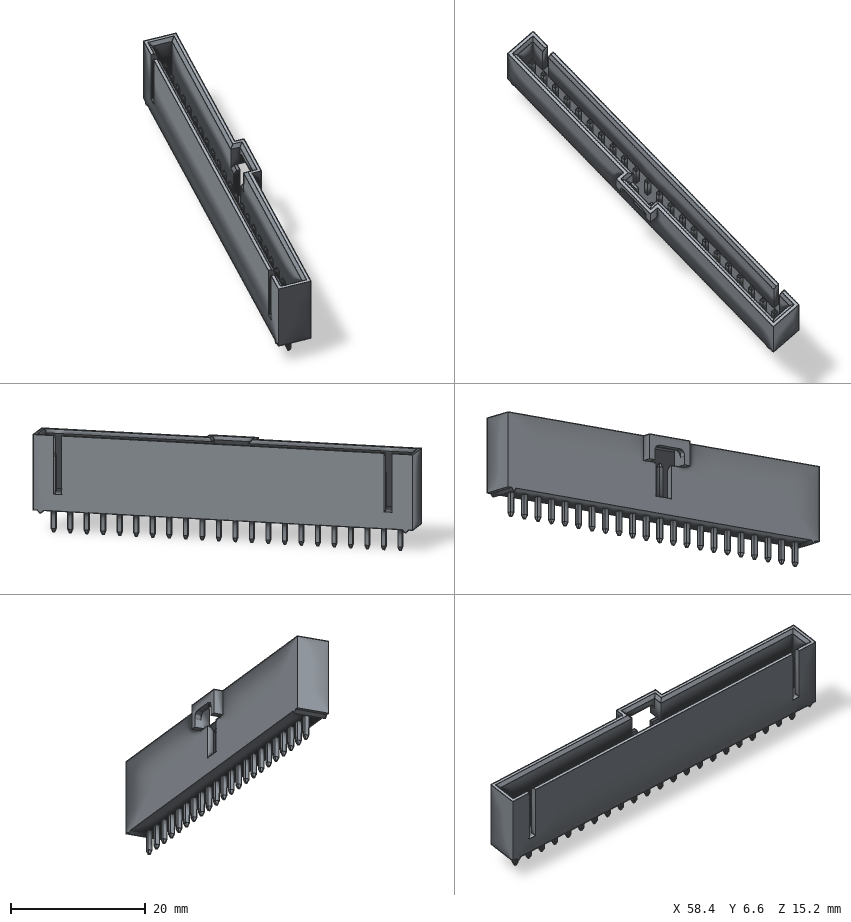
import cadquery as cq

length = 58.4
depth = 5.15
height = 11.45
floor_thickness = 2.55

rim_land = 0.5
lead_in_width = 0.5
lead_in_height = 0.5
wall = rim_land + lead_in_width

collar_width = 7.55
collar_projection = 1.45
collar_height = 3.8
collar_bar_height = 1.45
collar_opening_radius = 1.0

back_slot_width = 3.0

front_slot_width = 1.2
front_slot_end_distance = 3.8

ridge_height = 0.45
ridge_end_distance = 1.1

pin_count = 22
pin_pitch = length / (pin_count + 1)
pin_width = 0.65
pin_y = -0.05
pin_tip_width = 0.25
pin_tip_length = 0.6
pin_length_below = 3.7
pin_length_above = 5.85

front_y = -depth / 2
back_y = depth / 2
cavity_back_y = back_y - wall
collar_back_y = back_y + collar_projection
low_wall_top = height - collar_height


def block(width, y_start, y_end, z_start, z_end, x=0.0):
    """Box centred on x, spanning the given Y and Z ranges."""
    return (
        cq.Workplane("XY")
        .box(width, y_end - y_start, z_end - z_start, centered=(True, False, False))
        .translate((x, y_start, z_start))
    )


def frustum(width_start, width_end, depth_start, depth_end, z_start, z_end):
    """Rectangular loft, centred in X and Y, between two heights."""
    return (
        cq.Workplane("XY", origin=(0, 0, z_start))
        .rect(width_start, depth_start)
        .workplane(offset=z_end - z_start)
        .rect(width_end, depth_end)
        .loft(ruled=True)
    )


def lead_in(width, depth_inside):
    """Flared cutter that opens a cavity mouth at the top of the rim."""
    return frustum(
        width, width + 2 * lead_in_width,
        depth_inside, depth_inside + 2 * lead_in_width,
        height - lead_in_height, height,
    )


def make_shroud():
    cavity_length = length - 2 * wall
    cavity_depth = depth - 2 * wall
    window_width = collar_width - 2 * wall
    window_back_y = collar_back_y - wall
    window_depth = window_back_y - front_y - wall

    shroud = block(length, front_y, back_y, 0, height)
    collar = block(collar_width, back_y, collar_back_y, low_wall_top, height)
    shroud = shroud.union(collar)

    shroud = shroud.cut(block(cavity_length, -cavity_depth / 2, cavity_depth / 2, floor_thickness, height))
    shroud = shroud.cut(lead_in(cavity_length, cavity_depth))
    shroud = shroud.cut(block(window_width, 0, window_back_y, low_wall_top, height))
    window_centre_y = window_back_y - window_depth / 2
    shroud = shroud.cut(lead_in(window_width, window_depth).translate((0, window_centre_y, 0)))

    bar_bottom = height - collar_bar_height
    opening = block(window_width, back_y, collar_back_y, low_wall_top, bar_bottom)
    shroud = shroud.cut(opening.faces(">Z").edges("|Y").fillet(collar_opening_radius))

    low_lead_in = (
        cq.Workplane("YZ", origin=(-window_width / 2, 0, 0))
        .moveTo(cavity_back_y, low_wall_top - lead_in_height)
        .lineTo(cavity_back_y + lead_in_width, low_wall_top)
        .lineTo(cavity_back_y, low_wall_top)
        .close()
        .extrude(window_width)
    )
    shroud = shroud.cut(low_lead_in)

    shroud = shroud.cut(block(back_slot_width, 0, back_y, floor_thickness, low_wall_top))
    front_slot_x = length / 2 - front_slot_end_distance
    for x in (-front_slot_x, front_slot_x):
        shroud = shroud.cut(block(front_slot_width, front_y, front_y + wall, floor_thickness, height, x))
    return shroud


def make_ridge(x):
    return (
        cq.Workplane("XZ", origin=(x, back_y, 0))
        .moveTo(-ridge_height, 0)
        .lineTo(0, -ridge_height)
        .lineTo(ridge_height, 0)
        .close()
        .extrude(depth)
    )


def make_pin(x):
    bottom = -pin_length_below
    top = floor_thickness + pin_length_above
    shank_bottom = bottom + pin_tip_length
    shank_top = top - pin_tip_length
    pin = block(pin_width, -pin_width / 2, pin_width / 2, shank_bottom, shank_top)
    pin = pin.union(frustum(pin_tip_width, pin_width, pin_tip_width, pin_width, bottom, shank_bottom))
    pin = pin.union(frustum(pin_width, pin_tip_width, pin_width, pin_tip_width, shank_top, top))
    return pin.translate((x, pin_y, 0))


result = make_shroud()

ridge_x = length / 2 - ridge_end_distance
for x in (-ridge_x, ridge_x):
    result = result.union(make_ridge(x))

for index in range(pin_count):
    pin_x = (index - (pin_count - 1) / 2) * pin_pitch
    result = result.union(make_pin(pin_x))